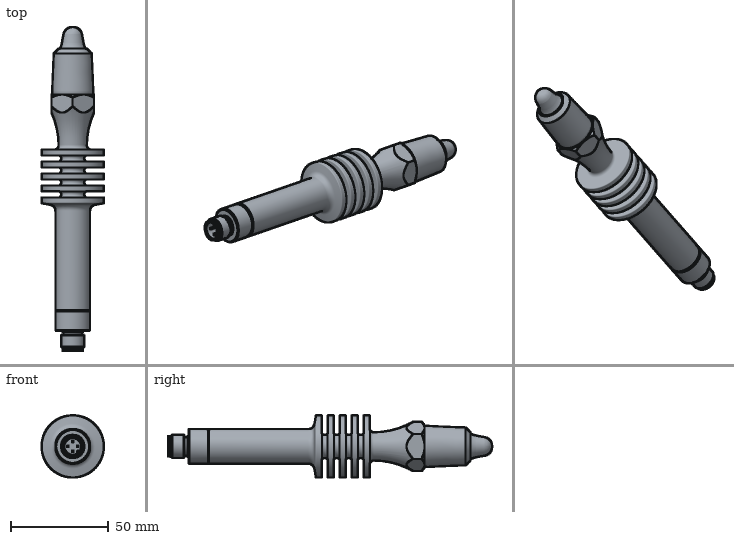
import cadquery as cq
import math

LENGTH = 166.2

DOME_RADIUS = 4.8
DOME_HEIGHT = 3.8
NOSE_BASE_Y = 157.9
NOSE_BASE_RADIUS = 5.7
NOSE_ROOT_RADIUS = 6.6
SHOULDER_Y = 155.0
SHOULDER_RADIUS = 7.3

SLEEVE_TOP_Y = 152.5
SLEEVE_TOP_RADIUS = 9.8
SLEEVE_BOTTOM_Y = 133.0
SLEEVE_BOTTOM_RADIUS = 10.6
COLLAR_RADIUS = 10.5

HEX_TOP_Y = 131.5
HEX_ACROSS_FLATS = 22.0
HEX_CORNER_RADIUS = HEX_ACROSS_FLATS / math.sqrt(3)
HEX_CHAMFER_HEIGHT = 1.5
FLARE_RADIUS = 40.7
FLARE_BOTTOM_Y = 105.4
NECK_RADIUS = 7.3

FIN_COUNT = 5
FIN_DIAMETER = 32.0
FIN_RADIUS = FIN_DIAMETER / 2
FIN_THICKNESS = 3.2
FIN_PITCH = 6.1
FIN_EDGE_ROUND = 0.5
FIN_TOP_Y = 103.4
FIN_CORE_RADIUS = 6.0
FIN_ROOT_RADIUS = 6.8
FINS_BOTTOM_Y = FIN_TOP_Y - (FIN_COUNT - 1) * FIN_PITCH - FIN_THICKNESS

SHANK_RADIUS = 9.0
SHANK_FILLET = 3.0
HUB_CONE_ANGLE = 10.0
SHANK_BOTTOM_Y = 10.3
SHANK_CHAMFER = 0.5
RING_GROOVE_Y = 20.6
RING_GROOVE_WIDTH = 0.7
RING_GROOVE_DEPTH = 0.3

PLUG_RADIUS = 6.0
PLUG_TOP_Y = 8.3
PLUG_BOTTOM_Y = 2.2
PLUG_CHAMFER = 0.5
PLUG_COLLAR_RADIUS = 5.3
PLUG_COLLAR_Y = 9.8
PLUG_NECK_RADIUS = 4.8
PLUG_RIM_RADIUS = 5.3
PLUG_TIP_Y = 1.2
PLUG_TIP_STEP = 0.08

SOCKET_RADIUS = 4.3
SOCKET_DEPTH = 8.3
SOCKET_MOUTH_DIAMETER = 9.5
SOCKET_MOUTH_RADIUS = SOCKET_MOUTH_DIAMETER / 2
PIN_COUNT = 4
PIN_RADIUS = 0.42
PIN_CIRCLE_RADIUS = 2.5
PIN_RECESS = 1.7
KEY_WIDTH = 1.0
KEY_HEIGHT = 0.8
KEY_RECESS = 1.0
KEY_ANGLE = -45.0


def nose_and_sleeve(profile):
    """Nose dome tangent to its taper, the widening root and the sleeve, down to the hexagon."""
    dome_rim_y = LENGTH - DOME_HEIGHT
    taper = math.atan2(NOSE_BASE_RADIUS - DOME_RADIUS, dome_rim_y - NOSE_BASE_Y)
    dome_round = DOME_HEIGHT / (1 - math.sin(taper))
    tip_radius = DOME_RADIUS - dome_round * math.cos(taper)
    middle_angle = (math.pi / 2 + taper) / 2
    dome_middle = (
        tip_radius + dome_round * math.cos(middle_angle),
        LENGTH - dome_round * (1 - math.sin(middle_angle)),
    )
    return (
        profile.lineTo(0, LENGTH)
        .lineTo(tip_radius, LENGTH)
        .threePointArc(dome_middle, (DOME_RADIUS, dome_rim_y))
        .lineTo(NOSE_BASE_RADIUS, NOSE_BASE_Y)
        .tangentArcPoint((NOSE_ROOT_RADIUS, SHOULDER_Y), relative=False)
        .lineTo(SHOULDER_RADIUS, SHOULDER_Y)
        .lineTo(SLEEVE_TOP_RADIUS, SLEEVE_TOP_Y)
        .lineTo(SLEEVE_BOTTOM_RADIUS, SLEEVE_BOTTOM_Y)
        .lineTo(COLLAR_RADIUS, HEX_TOP_Y)
    )


def hex_and_flare(profile):
    """Round blank of the hexagon, then the concave flare that ends tangent to the neck."""
    flare_rise = HEX_CORNER_RADIUS - NECK_RADIUS
    flare_angle = math.acos(1 - flare_rise / FLARE_RADIUS)
    flare_top_y = FLARE_BOTTOM_Y + FLARE_RADIUS * math.sin(flare_angle)
    flare_middle = (
        NECK_RADIUS + FLARE_RADIUS * (1 - math.cos(flare_angle / 2)),
        FLARE_BOTTOM_Y + FLARE_RADIUS * math.sin(flare_angle / 2),
    )
    return (
        profile.lineTo(HEX_ACROSS_FLATS / 2, HEX_TOP_Y)
        .lineTo(HEX_CORNER_RADIUS, HEX_TOP_Y - HEX_CHAMFER_HEIGHT)
        .lineTo(HEX_CORNER_RADIUS, flare_top_y)
        .threePointArc(flare_middle, (NECK_RADIUS, FLARE_BOTTOM_Y))
    )


def neck_to_shank(profile):
    """Solid core of the finned section, with a fillet above it and a filleted cone below it."""
    neck_fillet = FLARE_BOTTOM_Y - FIN_TOP_Y
    slope = math.radians(HUB_CONE_ANGLE)
    cone_radius = FIN_RADIUS - FIN_EDGE_ROUND
    fillet_top_radius = SHANK_RADIUS + SHANK_FILLET * (1 - math.sin(slope))
    fillet_top_y = FINS_BOTTOM_Y - (cone_radius - fillet_top_radius) * math.tan(slope)
    fillet_bottom_y = fillet_top_y - SHANK_FILLET * math.cos(slope)
    return (
        profile.radiusArc((NECK_RADIUS + neck_fillet, FIN_TOP_Y), -neck_fillet)
        .lineTo(FIN_CORE_RADIUS, FIN_TOP_Y)
        .lineTo(FIN_CORE_RADIUS, FINS_BOTTOM_Y)
        .lineTo(cone_radius, FINS_BOTTOM_Y)
        .lineTo(fillet_top_radius, fillet_top_y)
        .radiusArc((SHANK_RADIUS, fillet_bottom_y), -SHANK_FILLET)
    )


def shank_and_plug(profile):
    """Shank with its ring groove, and the stepped plug down to the connector face."""
    groove_floor = SHANK_RADIUS - RING_GROOVE_DEPTH
    groove_top_y = RING_GROOVE_Y + RING_GROOVE_WIDTH / 2
    groove_bottom_y = RING_GROOVE_Y - RING_GROOVE_WIDTH / 2
    return (
        profile.lineTo(SHANK_RADIUS, groove_top_y)
        .lineTo(groove_floor, groove_top_y)
        .lineTo(groove_floor, groove_bottom_y)
        .lineTo(SHANK_RADIUS, groove_bottom_y)
        .lineTo(SHANK_RADIUS, SHANK_BOTTOM_Y + SHANK_CHAMFER)
        .lineTo(SHANK_RADIUS - SHANK_CHAMFER, SHANK_BOTTOM_Y)
        .lineTo(PLUG_COLLAR_RADIUS, SHANK_BOTTOM_Y)
        .lineTo(PLUG_COLLAR_RADIUS, PLUG_COLLAR_Y)
        .lineTo(PLUG_NECK_RADIUS, PLUG_COLLAR_Y)
        .lineTo(PLUG_NECK_RADIUS, PLUG_TOP_Y)
        .lineTo(PLUG_RADIUS - PLUG_CHAMFER, PLUG_TOP_Y)
        .lineTo(PLUG_RADIUS, PLUG_TOP_Y - PLUG_CHAMFER)
        .lineTo(PLUG_RADIUS, PLUG_BOTTOM_Y)
        .lineTo(PLUG_RIM_RADIUS, PLUG_BOTTOM_Y - PLUG_CHAMFER)
        .lineTo(PLUG_RIM_RADIUS, PLUG_TIP_Y)
        .lineTo(PLUG_RIM_RADIUS - PLUG_TIP_STEP, PLUG_TIP_Y)
        .lineTo(PLUG_RIM_RADIUS - PLUG_TIP_STEP, 0)
    )


def turned_body():
    """Revolve the outline around Y."""
    profile = cq.Workplane("XY")
    for section in (nose_and_sleeve, hex_and_flare, neck_to_shank, shank_and_plug):
        profile = section(profile)
    return profile.lineTo(0, 0).close().revolve(360, (0, 0, 0), (0, 1, 0))


def along_y(start_y):
    """Workplane across the axis at start_y: local x is X, local y is Z, extrusion runs towards -Y."""
    return cq.Workplane("XZ", origin=(0, start_y, 0))


def hex_trim():
    """Waste around the hexagon, which has corners at +Z and -Z."""
    height = HEX_TOP_Y - FLARE_BOTTOM_Y
    blank = along_y(HEX_TOP_Y).circle(FIN_RADIUS).extrude(height)
    prism = (
        along_y(HEX_TOP_Y)
        .transformed(rotate=(0, 0, 90))
        .polygon(6, 2 * HEX_CORNER_RADIUS)
        .extrude(height)
    )
    return blank.cut(prism)


def fin(top_y):
    """Disc with rounded rims."""
    disc = along_y(top_y).circle(FIN_RADIUS).extrude(FIN_THICKNESS)
    return disc.edges().fillet(FIN_EDGE_ROUND)


def fin_gap_core(top_y):
    """Core between two fins: a shallow round hollow spans the whole gap."""
    gap = FIN_PITCH - FIN_THICKNESS
    return (
        cq.Workplane("XY")
        .moveTo(0, top_y)
        .lineTo(FIN_ROOT_RADIUS, top_y)
        .threePointArc((FIN_CORE_RADIUS, top_y - gap / 2), (FIN_ROOT_RADIUS, top_y - gap))
        .lineTo(0, top_y - gap)
        .close()
        .revolve(360, (0, 0, 0), (0, 1, 0))
    )


def socket():
    """Blind bore with a conical mouth."""
    mouth_depth = SOCKET_MOUTH_RADIUS - SOCKET_RADIUS
    return (
        cq.Workplane("XY")
        .lineTo(SOCKET_MOUTH_RADIUS, 0)
        .lineTo(SOCKET_RADIUS, mouth_depth)
        .lineTo(SOCKET_RADIUS, SOCKET_DEPTH)
        .lineTo(0, SOCKET_DEPTH)
        .close()
        .revolve(360, (0, 0, 0), (0, 1, 0))
    )


def contact_pins():
    """Pins standing on the socket floor."""
    return (
        along_y(SOCKET_DEPTH)
        .polarArray(PIN_CIRCLE_RADIUS, 0, 360, PIN_COUNT)
        .circle(PIN_RADIUS)
        .extrude(SOCKET_DEPTH - PIN_RECESS)
    )


def coding_key():
    """Rib along the socket wall, reaching KEY_HEIGHT inwards."""
    inner = SOCKET_RADIUS - KEY_HEIGHT
    radial_length = SOCKET_MOUTH_RADIUS - inner
    return (
        along_y(SOCKET_DEPTH)
        .transformed(rotate=(0, 0, KEY_ANGLE))
        .center(inner + radial_length / 2, 0)
        .rect(radial_length, KEY_WIDTH)
        .extrude(SOCKET_DEPTH - KEY_RECESS)
    )


result = turned_body().cut(hex_trim())
for index in range(FIN_COUNT):
    result = result.union(fin(FIN_TOP_Y - index * FIN_PITCH))
for index in range(FIN_COUNT - 1):
    result = result.union(fin_gap_core(FIN_TOP_Y - FIN_THICKNESS - index * FIN_PITCH))
result = result.cut(socket()).union(contact_pins()).union(coding_key())